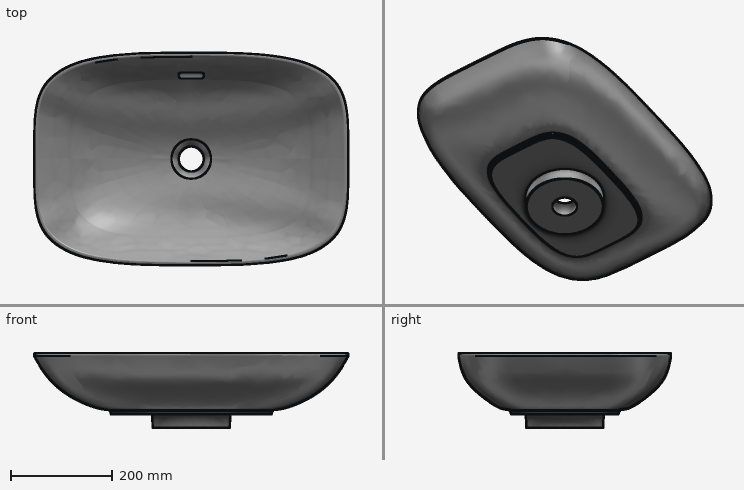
import cadquery as cq
import math


LENGTH = 620.0
WIDTH = 420.1
HEIGHT = 148.34

RIM_WIDTH = 7.5
LIP_DEPTH = 6.0
LIP_OUTER_ROUND = 4.2
LIP_INNER_ROUND = 3.0

OVAL_POWERS = (3.15, 4.4)
CREASE_POWERS = (3.3, 3.9)
FLOOR_POWERS = (3.0, 3.4)
INNER_FLOOR_POWERS = (2.4, 2.5)
ROUND_POWERS = (2.0, 2.0)
STEPS_PER_QUADRANT = 8

FOOT_TOP_DEPTH = 112.0
FOOT_TOP_HALF_LENGTH = 163.0
FOOT_TOP_HALF_WIDTH = 110.5
FOOT_OVERLAP = 1.0
FOOT_STEPS = [(0.0, 0.0), (4.0, 3.2), (6.0, 3.8), (8.5, 4.4), (10.0, 6.0)]

BOSS_TOP_RADIUS = 78.2
BOSS_BOTTOM_RADIUS = 76.2
BOSS_EDGE_CHAMFER = 1.0
DRAIN_HOLE_DIAMETER = 48.76
DRAIN_MOUTH_RADIUS = 39.0
FLOOR_END_RADIUS = DRAIN_MOUTH_RADIUS - 0.5
DRAIN_CUT_TOP_DEPTH = 90.0
DRAIN_MOUTH_DEPTH = 101.0
DRAIN_SEAT_ANGLE = math.radians(40.0)
DRAIN_EDGE_ROUND = 2.5

OVERFLOW_LENGTH = 50.0
OVERFLOW_HEIGHT = 10.5
OVERFLOW_DEPTH = 46.5
OVERFLOW_FRONT_Y = 140.0
OVERFLOW_END_Y = 178.0

HALF_LENGTH = LENGTH / 2
HALF_WIDTH = WIDTH / 2

OUTER_SECTIONS = [
    (LIP_DEPTH, HALF_LENGTH, HALF_WIDTH, OVAL_POWERS),
    (28.0, 297.5, 205.5, OVAL_POWERS),
    (50.0, 281.5, 196.5, OVAL_POWERS),
    (73.0, 257.5, 178.0, OVAL_POWERS),
    (95.0, 222.0, 151.0, OVAL_POWERS),
    (FOOT_TOP_DEPTH + FOOT_OVERLAP, 163.0, 109.0, OVAL_POWERS),
]
INNER_WALL_SECTIONS = [
    (0.0, HALF_LENGTH - RIM_WIDTH, HALF_WIDTH - RIM_WIDTH, OVAL_POWERS),
    (29.0, 271.0, 182.0, OVAL_POWERS),
    (54.0, 238.0, 156.0, CREASE_POWERS),
]
INNER_FLOOR_SECTIONS = [
    INNER_WALL_SECTIONS[-1],
    (72.0, 202.0, 131.0, FLOOR_POWERS),
    (91.0, 135.0, 90.0, INNER_FLOOR_POWERS),
    (DRAIN_MOUTH_DEPTH, FLOOR_END_RADIUS, FLOOR_END_RADIUS, ROUND_POWERS),
]


def oval_point(half_length, half_width, powers, angle, depth):
    """Point on the rounded oval; the angle turns once around it."""
    x_power, y_power = powers
    mean_power = (x_power + y_power) / 2
    x_term = abs(math.cos(angle)) ** mean_power
    y_term = abs(math.sin(angle)) ** mean_power
    x = half_length * (x_term / (x_term + y_term)) ** (1 / x_power)
    y = half_width * (y_term / (x_term + y_term)) ** (1 / y_power)
    return cq.Vector(math.copysign(x, math.cos(angle)), math.copysign(y, math.sin(angle)), -depth)


def oval_wire(depth, half_length, half_width, powers):
    """Closed rounded oval made of one smooth curve per quadrant."""
    edges = []
    step_angle = math.pi / 2 / STEPS_PER_QUADRANT
    for quadrant in range(4):
        start = quadrant * math.pi / 2
        end = start + math.pi / 2
        angles = [start + step * step_angle for step in range(STEPS_PER_QUADRANT + 1)]
        points = [oval_point(half_length, half_width, powers, angle, depth) for angle in angles]
        tangents = [cq.Vector(-math.sin(angle), math.cos(angle), 0) for angle in (start, end)]
        edges.append(cq.Edge.makeSpline(points, tangents=tangents))
    return cq.Wire.assembleEdges(edges)


def loft(sections, ruled=False):
    return cq.Workplane(cq.Solid.makeLoft([oval_wire(*section) for section in sections], ruled))


def lip():
    """Upright band around the top of the bowl."""
    outline = oval_wire(0.0, HALF_LENGTH, HALF_WIDTH, OVAL_POWERS)
    band = cq.Solid.extrudeLinear(outline, [], cq.Vector(0, 0, -LIP_DEPTH))
    return cq.Workplane(band).faces(">Z").edges().fillet(LIP_OUTER_ROUND)


def foot():
    """Low plinth with a sloping side and a broken lower edge."""
    sections = [
        (
            FOOT_TOP_DEPTH + drop,
            FOOT_TOP_HALF_LENGTH - inset,
            FOOT_TOP_HALF_WIDTH - inset,
            OVAL_POWERS,
        )
        for drop, inset in FOOT_STEPS
    ]
    return loft(sections, ruled=True)


def drain_boss():
    cone = cq.Solid.makeCone(
        BOSS_BOTTOM_RADIUS,
        BOSS_TOP_RADIUS,
        HEIGHT - FOOT_TOP_DEPTH,
        cq.Vector(0, 0, -HEIGHT),
    )
    return cq.Workplane(cone).faces("<Z").edges().chamfer(BOSS_EDGE_CHAMFER)


def drain_cut():
    """Through hole with a conical seat whose upper edge rolls over into the bowl."""
    hole_radius = DRAIN_HOLE_DIAMETER / 2
    seat_radius = DRAIN_MOUTH_RADIUS - DRAIN_EDGE_ROUND * math.sin(DRAIN_SEAT_ANGLE)
    seat_depth = DRAIN_MOUTH_DEPTH + DRAIN_EDGE_ROUND * (1 - math.cos(DRAIN_SEAT_ANGLE))
    hole_top_depth = seat_depth + (seat_radius - hole_radius) * math.tan(DRAIN_SEAT_ANGLE)
    return (
        cq.Workplane("XZ")
        .moveTo(0, -DRAIN_CUT_TOP_DEPTH)
        .lineTo(DRAIN_MOUTH_RADIUS, -DRAIN_CUT_TOP_DEPTH)
        .lineTo(DRAIN_MOUTH_RADIUS, -DRAIN_MOUTH_DEPTH)
        .radiusArc((seat_radius, -seat_depth), -DRAIN_EDGE_ROUND)
        .lineTo(hole_radius, -hole_top_depth)
        .lineTo(hole_radius, -HEIGHT)
        .lineTo(0, -HEIGHT)
        .close()
        .revolve(360, (0, 0, 0), (0, 1, 0))
    )


def overflow_cut():
    """Blind slot with round ends, running into the back wall."""
    return (
        cq.Workplane("XZ", origin=(0, OVERFLOW_FRONT_Y, -OVERFLOW_DEPTH))
        .slot2D(OVERFLOW_LENGTH, OVERFLOW_HEIGHT)
        .extrude(OVERFLOW_FRONT_Y - OVERFLOW_END_Y)
    )


def basin_cut():
    """Hollow of the bowl: a wall above the crease line and a floor running down to the drain."""
    return loft(INNER_WALL_SECTIONS).union(loft(INNER_FLOOR_SECTIONS))


def round_inner_rim(bowl):
    rim_face = bowl.faces(">Z").val()
    return bowl.newObject(rim_face.innerWires()[0].Edges()).fillet(LIP_INNER_ROUND)


outside = loft(OUTER_SECTIONS).union(lip()).union(foot()).union(drain_boss())
bowl = outside.cut(basin_cut()).cut(drain_cut())
bowl = round_inner_rim(bowl)
result = bowl.cut(overflow_cut())